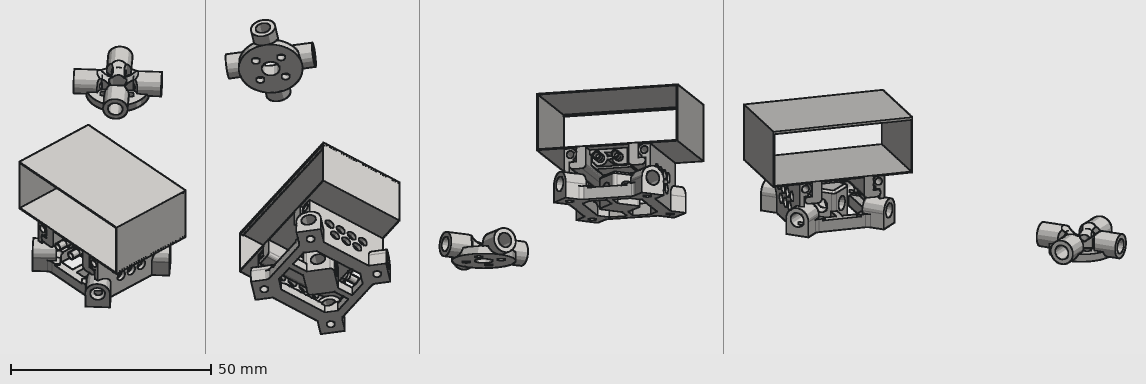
import cadquery as cq
import math


axis_height = 4.15
socket_diameter = 6.2
rod_diameter = 3.7
diagonal = 45
arm_angles = [diagonal + 90 * quarter for quarter in range(4)]
socket_radius = socket_diameter / 2

base_half = 11.2
base_side = 2 * base_half
base_top = 13.2
wall_thickness = 1.25
floor_height = 3.0
floor_rim = 2.2
rib_width = 1.6
base_arm_end = 17.15
base_arm_start = 11.2
gusset_start = 10.2
gusset_half_width = 4.3
gusset_height = 3.45
gusset_fillet = 1.6
screw_radius = 14.3
screw_diameter = 2.0
hub_side = 7.8
hub_height = 2 * axis_height
hub_fillet = 0.95
hub_chamfer = 0.6
vent_diameter = 2.5
vent_pitch = 3.4
vent_rows = [(8.1, 4), (4.9, 3)]
boss_diameter = 3.1
boss_hole = 1.9
boss_height = 11.75
boss_offset = base_half - boss_diameter / 2
rail_inner = 8.9

sleeve_width = 36.6
sleeve_front = -11.3
sleeve_length = 23.2
sleeve_back = sleeve_front + sleeve_length
sleeve_bottom = 13.4
sleeve_top = 27.95
sleeve_wall = 0.3
stop_height = 0.4
stop_length = 0.8
hook_inner = 5.55
hook_outer = 8.1
hook_foot_end = base_half - wall_thickness
hook_foot_top = 9.8
hook_bottom = 8.0
hook_lower_fillet = 1.0
hook_upper_fillet = 0.6

holder_front = -9.0
holder_length = 7.8
holder_back = holder_front + holder_length
flange_setback = 1.2
flange_half_width = 5.2
flange_bottom = 8.4
strip_bottom = 12.3
holder_half_width = 4.55
holder_bottom = 8.9
holder_top = 13.1
corner_cut = 1.1
collar_diameter = 3.7
web_thickness = 0.7
window_top = 12.2
window_half_width = 2.35

contact_offset = 2.4
contact_height = 10.8
contact_diameter = 2.0
contact_bore = 1.65
contact_bore_depth = 2.35
contact_front = -12.5

ring_offset = 50.0
ring_bottom = axis_height - socket_radius
ring_top = axis_height + socket_radius
ring_diameter = 16.0
ring_thickness = 1.95
ring_hole = 4.5
ring_arm_end = 10.95
ring_bore_start = 3.9
ring_screw_radius = 4.55
ring_screw_diameter = 2.0
ring_recess_diameter = 3.7
pocket_half_width = 5.2
pocket_floor_half = 0.5
pocket_depth = 3.75


def turned(shape, angle):
    """Turn a shape about the Z axis."""
    return shape.rotate((0, 0, 0), (0, 0, 1), angle)


def rod(diameter, start, end, angle):
    """Horizontal cylinder at axis height, from start to end along a direction."""
    section = cq.Workplane("YZ", origin=(start, 0, axis_height)).circle(diameter / 2)
    return turned(section.extrude(end - start), angle)


def bar_along_y(diameter, x, z, front, back):
    """Cylinder along Y."""
    return cq.Workplane("XZ", origin=(x, back, z)).circle(diameter / 2).extrude(back - front)


def box(left, right, front, back, bottom, top):
    """Box between the given limits."""
    corner = cq.Workplane("XY", origin=(left, front, bottom))
    return corner.box(right - left, back - front, top - bottom, centered=False)


def make_frame():
    """Floor with a rib across its window, and two side walls with rails and screw bosses."""
    window_x = base_side - 2 * (wall_thickness + floor_rim)
    window_y = base_side - 2 * floor_rim
    frame = cq.Workplane("XY").rect(base_side, base_side).rect(window_x, window_y).extrude(floor_height)
    frame = frame.union(cq.Workplane("XY").rect(rib_width, base_side).extrude(floor_height))
    wall = box(base_half - wall_thickness, base_half, -base_half, base_half, 0, base_top)
    rail = box(rail_inner, base_half, -base_half, base_half, hook_foot_top, boss_height)
    boss = bar_along_y(boss_diameter, boss_offset, boss_height, -base_half, base_half)
    hole = bar_along_y(boss_hole, boss_offset, boss_height, -base_half, base_half)
    side = wall.union(rail).union(boss).cut(hole)
    return frame.union(side).union(side.mirror("YZ"))


def make_gusset():
    """Gusset at the +X +Y corner, with a concave fillet from the back face to the arm."""
    block = box(gusset_start, base_arm_end, -gusset_half_width, gusset_half_width, 0, gusset_height)
    inside = cq.Workplane("XY").rect(base_side, base_side).extrude(gusset_height)
    block = turned(block, diagonal).intersect(inside)

    corner_x = base_half - socket_radius * math.sqrt(2)
    half_turn = math.radians(diagonal / 2)
    setback = gusset_fillet * math.tan(half_turn)
    on_face = (corner_x - setback, base_half)
    on_arm = (corner_x + setback / math.sqrt(2), base_half + setback / math.sqrt(2))
    middle = (on_face[0] + gusset_fillet * math.sin(half_turn),
              base_half + gusset_fillet * (1 - math.cos(half_turn)))
    fillet = cq.Workplane("XY").moveTo(*on_face).threePointArc(middle, on_arm)
    fillet = fillet.lineTo(corner_x, base_half - socket_radius).close().extrude(gusset_height)
    return block.union(fillet)


def make_arm(angle):
    """Rod socket with a round top and straight sides down to the underside."""
    block = box(base_arm_start, base_arm_end, -socket_radius, socket_radius, 0, axis_height)
    return turned(block, angle).union(rod(socket_diameter, base_arm_start, base_arm_end, angle))


def make_hub():
    hub = cq.Workplane("XY").rect(hub_side, hub_side).extrude(hub_height)
    hub = hub.edges("|Z").fillet(hub_fillet)
    hub = hub.faces(">Z").chamfer(hub_chamfer)
    return turned(hub, diagonal)


def cut_vents(base):
    """Two rows of round vents through both side walls."""
    for height, count in vent_rows:
        for index in range(count):
            y = (index - (count - 1) / 2) * vent_pitch
            for wall_x in (-base_half, base_half - wall_thickness):
                vent = cq.Workplane("YZ", origin=(wall_x, y, height)).circle(vent_diameter / 2)
                base = base.cut(vent.extrude(wall_thickness))
    return base


def make_base():
    base = make_frame().union(make_hub())
    right_gussets = make_gusset().union(make_gusset().mirror("XZ"))
    base = base.union(right_gussets).union(right_gussets.mirror("YZ"))
    for angle in arm_angles:
        base = base.union(make_arm(angle))
    for angle in arm_angles:
        base = base.cut(rod(rod_diameter, 0, base_arm_end, angle))
    screws = cq.Workplane("XY").polarArray(screw_radius, diagonal, 360, len(arm_angles))
    base = base.cut(screws.circle(screw_diameter / 2).extrude(axis_height))
    return cut_vents(base)


def make_shell():
    """Thin rectangular tube, open at both ends, with a stop lip under the roof at the rear."""
    half_width = sleeve_width / 2
    inner_half = half_width - sleeve_wall
    inner_top = sleeve_top - sleeve_wall
    shell = box(-half_width, half_width, sleeve_front, sleeve_back, sleeve_bottom, sleeve_top)
    shell = shell.cut(box(-inner_half, inner_half, sleeve_front, sleeve_back,
                          sleeve_bottom + sleeve_wall, inner_top))
    return shell.union(box(-half_width, half_width, sleeve_back - stop_length, sleeve_back,
                           inner_top - stop_height, sleeve_top))


def make_hook():
    """L-shaped runner on the +X side, its foot pointing outward under the rail."""
    outline = [
        (hook_inner, sleeve_bottom),
        (hook_inner, hook_bottom),
        (hook_foot_end, hook_bottom),
        (hook_foot_end, hook_foot_top),
        (hook_outer, hook_foot_top),
        (hook_outer, sleeve_bottom),
    ]
    hook = cq.Workplane("XZ", origin=(0, sleeve_back, 0)).polyline(outline).close().extrude(sleeve_length)
    hook = hook.faces("<Z").edges("|Y").fillet(hook_lower_fillet)
    return hook.faces(">X").edges("|Y and >Z").fillet(hook_upper_fillet)


def beveled_block(half_width, bottom, top, front):
    """Block up to the back of the holder, with its two -X corners cut off."""
    outline = [
        (half_width, bottom),
        (half_width, top),
        (corner_cut - half_width, top),
        (-half_width, top - corner_cut),
        (-half_width, bottom + corner_cut),
        (corner_cut - half_width, bottom),
    ]
    section = cq.Workplane("XZ", origin=(0, holder_back, 0)).polyline(outline).close()
    return section.extrude(holder_back - front)


def make_holder():
    """Flanged holder with a window between two contact collars joined by a web."""
    flange_front = holder_front + flange_setback
    holder = beveled_block(holder_half_width, holder_bottom, holder_top, holder_front)
    holder = holder.union(beveled_block(flange_half_width, flange_bottom, sleeve_bottom, flange_front))
    holder = holder.union(box(-hook_inner, hook_inner, flange_front, holder_back, strip_bottom, sleeve_bottom))
    window = box(-window_half_width, window_half_width, holder_front, holder_back, holder_bottom, window_top)
    window = window.cut(box(-contact_offset, contact_offset, holder_front, holder_back,
                            contact_height - web_thickness / 2, contact_height + web_thickness / 2))
    for x in (-contact_offset, contact_offset):
        window = window.cut(bar_along_y(collar_diameter, x, contact_height, holder_front, holder_back))
    holder = holder.cut(window)
    for x in (-contact_offset, contact_offset):
        holder = holder.cut(bar_along_y(contact_diameter, x, contact_height, holder_front, holder_back))
    return holder


def make_sleeve():
    hook = make_hook()
    return make_shell().union(hook).union(hook.mirror("YZ")).union(make_holder())


def make_contact(x):
    """Round contact through the holder, with a blind bore in its front end."""
    contact = bar_along_y(contact_diameter, x, contact_height, contact_front, holder_back)
    bore_back = contact_front + contact_bore_depth
    return contact.cut(bar_along_y(contact_bore, x, contact_height, contact_front, bore_back))


def make_ring():
    """Disc with four rod sockets, a pyramid pocket, a central hole and recessed screw holes."""
    ring = cq.Workplane("XY", origin=(0, 0, ring_bottom)).circle(ring_diameter / 2).extrude(ring_thickness)
    for angle in arm_angles:
        ring = ring.union(rod(socket_diameter, 0, ring_arm_end, angle))

    pocket = cq.Workplane("XY", origin=(0, 0, ring_top)).rect(2 * pocket_half_width, 2 * pocket_half_width)
    pocket = pocket.workplane(offset=-pocket_depth).rect(2 * pocket_floor_half, 2 * pocket_floor_half).loft()
    ring = ring.cut(turned(pocket, diagonal))
    ring = ring.cut(cq.Workplane("XY").circle(ring_hole / 2).extrude(ring_top))

    for angle in arm_angles:
        ring = ring.cut(rod(rod_diameter, ring_bore_start, ring_arm_end, angle))
    screws = cq.Workplane("XY").polarArray(ring_screw_radius, 0, 360, len(arm_angles))
    ring = ring.cut(screws.circle(ring_screw_diameter / 2).extrude(ring_top))
    recesses = cq.Workplane("XY", origin=(0, 0, ring_bottom + ring_thickness))
    recesses = recesses.polarArray(ring_screw_radius, 0, 360, len(arm_angles))
    ring = ring.cut(recesses.circle(ring_recess_diameter / 2).extrude(ring_top))
    return ring.translate((-ring_offset, ring_offset, 0))


base = make_base()
sleeve = make_sleeve()
ring = make_ring()
contacts = [make_contact(x) for x in (-contact_offset, contact_offset)]

result = cq.Compound.makeCompound([
    base.val(),
    sleeve.val(),
    ring.val(),
    *[contact.val() for contact in contacts],
])